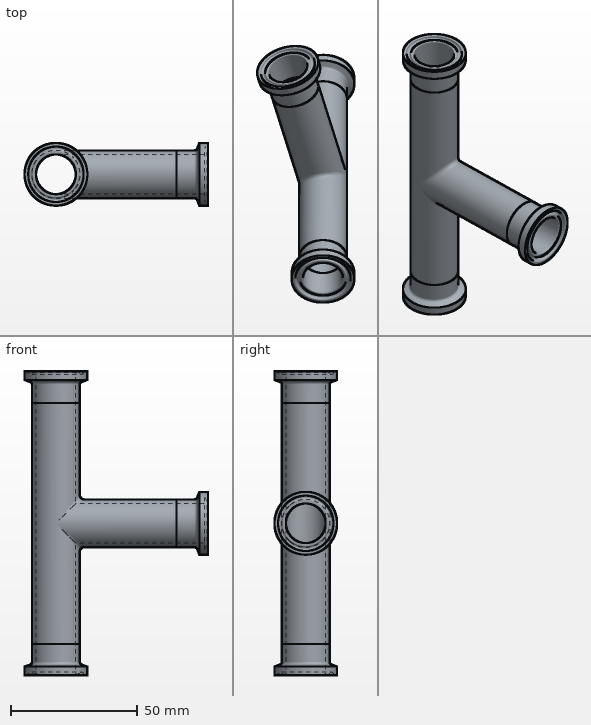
import cadquery as cq
import math

run_length = 120.6
end_distance = run_length / 2

tube_radius = 19.0 / 2
bore_radius = 15.7 / 2
saddle_fillet = 1.6

ferrule_length = 12.5
flange_radius = 25.0 / 2
rim_thickness = 3.5
cone_angle = math.radians(20)
neck_fillet = 1.0

groove_center_radius = 10.1
groove_width = 1.7
groove_depth = 0.8
lip_drop = 0.5
rim_edge_fillet = 0.4
lip_edge_fillet = 0.2
bore_edge_fillet = 0.5

tube_reach = end_distance - ferrule_length


def make_tee():
    """Hollow run and branch tubes joined by a filleted saddle."""
    run = cq.Workplane("XY").circle(tube_radius).extrude(tube_reach, both=True)
    branch = cq.Workplane("YZ").circle(tube_radius).extrude(tube_reach)
    outside = run.union(branch)

    outside = outside.edges("not(%LINE or %CIRCLE)").fillet(saddle_fillet)

    run_bore = cq.Workplane("XY").circle(bore_radius).extrude(tube_reach, both=True)
    branch_bore = cq.Workplane("YZ").circle(bore_radius).extrude(tube_reach)
    return outside.cut(run_bore).cut(branch_bore)


def fillet_circle(body, radius, height, fillet_radius):
    """Fillet the circular edge of the given radius and height, centred on Z."""
    tolerance = 0.001
    edges = [
        edge
        for edge in body.edges("%CIRCLE").vals()
        if abs(edge.radius() - radius) < tolerance and abs(edge.Center().z - height) < tolerance
    ]
    return body.newObject(edges).fillet(fillet_radius)


def make_ferrule():
    """Ferrule on the Z axis, weld end at z = 0 and sealing face up."""
    face = ferrule_length
    lip = face - lip_drop
    rim_back = face - rim_thickness
    cone_foot = rim_back - (flange_radius - tube_radius) * math.tan(cone_angle)
    groove_outer = groove_center_radius + groove_width / 2
    groove_inner = groove_center_radius - groove_width / 2
    body = (
        cq.Workplane("XZ")
        .moveTo(bore_radius, 0)
        .lineTo(tube_radius, 0)
        .lineTo(tube_radius, cone_foot)
        .lineTo(flange_radius, rim_back)
        .lineTo(flange_radius, face)
        .lineTo(groove_outer, face)
        .lineTo(groove_outer, lip)
        .threePointArc((groove_center_radius, lip - groove_depth), (groove_inner, lip))
        .lineTo(bore_radius, lip)
        .close()
        .revolve(360, (0, 0, 0), (0, 1, 0))
    )
    body = fillet_circle(body, tube_radius, cone_foot, neck_fillet)
    body = fillet_circle(body, groove_outer, face, rim_edge_fillet)
    body = fillet_circle(body, groove_inner, lip, lip_edge_fillet)
    return fillet_circle(body, bore_radius, lip, bore_edge_fillet)


tee = make_tee()

ferrules = []
for turn in (0, 90, 180):
    placed = make_ferrule().translate((0, 0, tube_reach)).rotate((0, 0, 0), (0, 1, 0), turn)
    ferrules.append(placed.val())

result = cq.Compound.makeCompound([tee.val(), *ferrules])